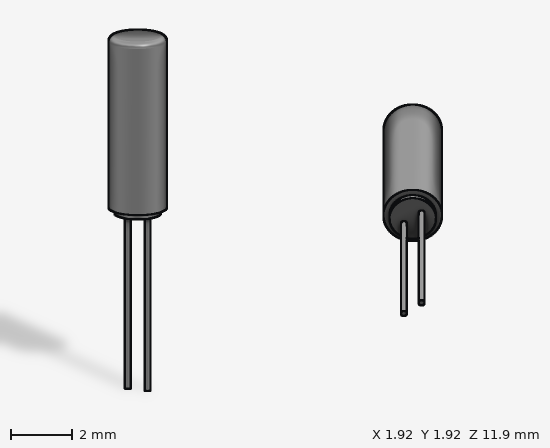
import cadquery as cq

can_diameter = 1.92
can_height = 5.8
can_top_fillet = 0.2
base_diameter = 1.52
base_height = 0.2
lead_diameter = 0.2
lead_length = 5.94
lead_pitch = 0.7

can_bottom = base_height


def make_can():
    can = cq.Workplane("XY").workplane(offset=can_bottom).circle(can_diameter / 2).extrude(can_height)
    return can.faces(">Z").edges().fillet(can_top_fillet)


def make_base():
    return cq.Workplane("XY").circle(base_diameter / 2).extrude(base_height)


def make_lead(x):
    return cq.Workplane("XY").center(x, 0).circle(lead_diameter / 2).extrude(-lead_length)


result = make_can().union(make_base())
for side in (-1, 1):
    result = result.union(make_lead(side * lead_pitch / 2))